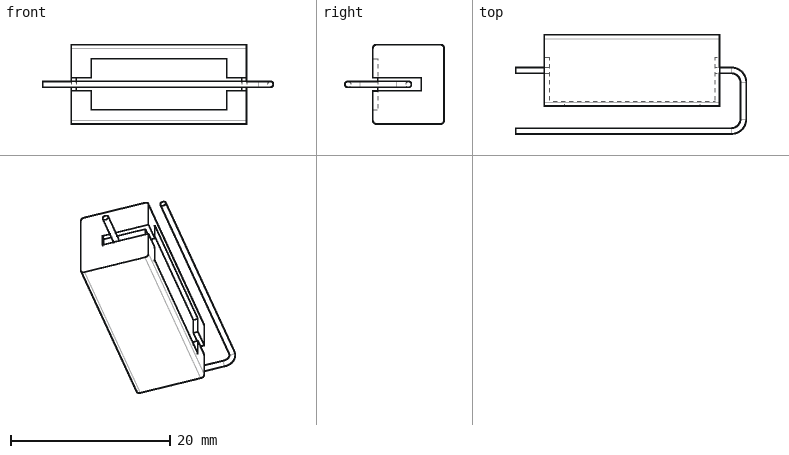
import cadquery as cq

body_length = 22.0
body_depth = 8.97
body_height = 10.0
corner_radius = 0.5

recess_depth = 0.6
window_length = 17.0
window_height = 6.37
slot_height = 1.65
slot_reach = 6.1

wire_diameter = 0.75
wire_length = 28.95
wire_overhang = 3.6
overall_depth = 12.48
lead_pitch = 7.6
bend_radius = 1.5

body_left = -body_length / 2
body_front = -body_depth / 2
wire_radius = wire_diameter / 2


def make_body():
    """Block with its four long edges rounded."""
    block = cq.Workplane("XY").box(body_length, body_depth, body_height)
    return block.edges("|X").fillet(corner_radius)


def make_front_recess():
    """Wide window joined to a narrow band that runs out to both ends."""
    recess_y = body_front + recess_depth / 2
    window = cq.Workplane("XY").box(window_length, recess_depth, window_height)
    band = cq.Workplane("XY").box(body_length, recess_depth, slot_height)
    return window.union(band).translate((0, recess_y, 0))


def make_end_slot(side):
    """Slot in one end face, open to the front; side is -1 or +1 along X."""
    slot_x = side * (body_length - recess_depth) / 2
    slot_y = body_front + slot_reach / 2
    slot = cq.Workplane("XY").box(recess_depth, slot_reach, slot_height)
    return slot.translate((slot_x, slot_y, 0))


def make_wire():
    """Round wire through the body, bent back along the front face."""
    start_x = body_left - wire_overhang
    return_x = start_x + wire_length - wire_radius
    bend_x = return_x - bend_radius
    front_y = body_depth / 2 - overall_depth + wire_radius
    rear_y = front_y + lead_pitch
    path = (
        cq.Workplane("XY")
        .moveTo(start_x, rear_y)
        .lineTo(bend_x, rear_y)
        .radiusArc((return_x, rear_y - bend_radius), bend_radius)
        .lineTo(return_x, front_y + bend_radius)
        .radiusArc((bend_x, front_y), bend_radius)
        .lineTo(start_x, front_y)
    )
    section = cq.Workplane("YZ", origin=(start_x, rear_y, 0)).circle(wire_radius)
    return section.sweep(path)


body = make_body().cut(make_front_recess())
for end in (-1, 1):
    body = body.cut(make_end_slot(end))

result = body.union(make_wire())